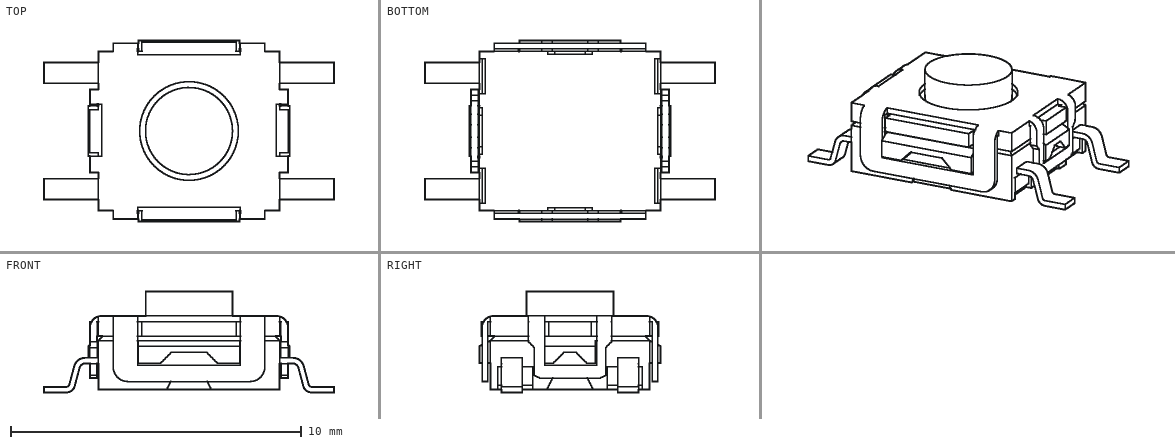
import cadquery as cq
import math

BODY_LENGTH = 6.24
BODY_WIDTH = 5.48
BODY_BOTTOM = 0.1
BODY_TOP = 1.94
BODY_CHAMFER = 0.15
COVER_TOP = 2.64
COVER_SHEET = 0.2
BEND_RADIUS = 0.4
COVER_UNDERSIDE = COVER_TOP - COVER_SHEET

BUTTON_DIAMETER = 3.0
BUTTON_TOP = 3.48
BUTTON_HOLE_DIAMETER = 3.4

CLIP_FACE_X = 3.41
CLIP_FACE_Y = 3.03
WINDOW_BOTTOM = 0.94

WIDE_CLIP_THICKNESS = 0.2
WIDE_CLIP_WIDTH = 5.22
WIDE_CLIP_BOTTOM = 0.38
WIDE_CLIP_RADIUS = 0.5
WIDE_WINDOW_WIDTH = 3.54

NARROW_CLIP_THICKNESS = 0.25
NARROW_CLIP_WIDTH = 2.86
NARROW_CLIP_FOOT_WIDTH = 2.46
NARROW_CLIP_BOTTOM = 0.5
NARROW_CLIP_TAPER_TOP = 1.75
NARROW_CLIP_CORNER_WIDTH = 0.19
NARROW_CLIP_CORNER_HEIGHT = 0.09
NARROW_WINDOW_WIDTH = 1.79
NARROW_WINDOW_OFFSET_Y = 0.03

WIDE_SPACER_WIDTH = 3.24
NARROW_SPACER_WIDTH = 1.48
SPACER_FACE_Y = 3.06
SPACER_FACE_X = CLIP_FACE_X
WIDE_LATCH_WIDTH = 3.48
NARROW_LATCH_WIDTH = 1.73
LATCH_FACE_Y = 3.12
LATCH_FACE_X = 3.47
LATCH_BOTTOM = 1.01
LATCH_SHOULDER = 1.6
LATCH_TOP = BODY_TOP - BODY_CHAMFER
LATCH_NOTCH_HEIGHT = 0.37
WIDE_NOTCH_TOP = 1.22
NARROW_NOTCH_TOP = 0.42

POCKET_TOP = 0.6
POCKET_DEPTH = 0.1
POCKET_FLARE = 0.25
WIDE_POCKET_TOP = 1.04
NARROW_POCKET_TOP = 1.1

LEAD_SPAN = 10.0
LEAD_WIDTH = 0.72
LEAD_PITCH = 4.0
LEAD_THICKNESS = 0.2
LEAD_TOP = 1.2
LEAD_SLOPE_ANGLE = 75.0
LEAD_UPPER_BEND_X = 3.57
LEAD_UPPER_RADIUS = 0.4
LEAD_LOWER_RADIUS = 0.3
LEAD_RECESS_WIDTH = 1.2
LEAD_RECESS_CENTER_Y = 1.89
LEAD_RECESS_TOP = 0.89
LEAD_RECESS_DEPTH = 0.1
LEAD_RECESS_STEP_TOP = 0.25
LEAD_RECESS_STEP_DEPTH = 0.2


def box(x_min, x_max, y_min, y_max, z_min, z_max):
    """Box between opposite corners."""
    size = (x_max - x_min, y_max - y_min, z_max - z_min)
    return cq.Workplane("XY").box(*size, centered=False).translate((x_min, y_min, z_min))


def centered_box(length, width, z_min, z_max):
    """Box centred on the Z axis."""
    return box(-length / 2, length / 2, -width / 2, width / 2, z_min, z_max)


def front_prism(outline, near, far):
    """Extrude an XZ outline between two distances in front of the centre."""
    return outline.extrude(far - near).translate((0, -near, 0))


def trapezoid(top_width, bottom_width, z_bottom, z_top):
    """Symmetric XZ trapezoid standing on z_bottom."""
    return cq.Workplane("XZ").polyline([
        (-bottom_width / 2, z_bottom),
        (bottom_width / 2, z_bottom),
        (top_width / 2, z_top),
        (-top_width / 2, z_top),
    ]).close()


def make_housing():
    lower = centered_box(BODY_LENGTH, BODY_WIDTH, BODY_BOTTOM, BODY_TOP)
    lower = lower.faces(">Z").edges().chamfer(BODY_CHAMFER)
    upper = centered_box(BODY_LENGTH, BODY_WIDTH, BODY_TOP, COVER_TOP)
    bent_sheet = centered_box(2 * CLIP_FACE_X, 2 * CLIP_FACE_Y, 0, COVER_TOP)
    bent_sheet = bent_sheet.faces(">Z").edges().fillet(BEND_RADIUS)
    return lower.union(upper.intersect(bent_sheet))


def add_button(part):
    well = cq.Workplane("XY", origin=(0, 0, COVER_UNDERSIDE)).circle(BUTTON_HOLE_DIAMETER / 2)
    button = cq.Workplane("XY", origin=(0, 0, COVER_UNDERSIDE)).circle(BUTTON_DIAMETER / 2)
    return part.cut(well.extrude(COVER_SHEET)).union(button.extrude(BUTTON_TOP - COVER_UNDERSIDE))


def wide_clip_outline():
    outline = centered_box(WIDE_CLIP_WIDTH, 2 * CLIP_FACE_Y, WIDE_CLIP_BOTTOM, COVER_TOP)
    return outline.edges("|Y and <Z").fillet(WIDE_CLIP_RADIUS)


def narrow_clip_outline():
    half_width = NARROW_CLIP_WIDTH / 2
    half_foot = NARROW_CLIP_FOOT_WIDTH / 2
    half_bottom = half_foot - NARROW_CLIP_CORNER_WIDTH
    taper_bottom = NARROW_CLIP_TAPER_TOP - (half_width - half_foot)
    right_side = [
        (half_bottom, NARROW_CLIP_BOTTOM),
        (half_foot, NARROW_CLIP_BOTTOM + NARROW_CLIP_CORNER_HEIGHT),
        (half_foot, taper_bottom),
        (half_width, NARROW_CLIP_TAPER_TOP),
        (half_width, COVER_TOP),
    ]
    left_side = [(-x, z) for x, z in reversed(right_side)]
    outline = cq.Workplane("XZ").polyline(right_side + left_side).close()
    return front_prism(outline, 0, CLIP_FACE_X)


def make_clip(outline, clip_face, thickness):
    """Sheet folded down over the wall, trimmed to the clip outline."""
    bend_start = clip_face - BEND_RADIUS
    profile = (
        cq.Workplane("YZ")
        .moveTo(-bend_start, COVER_TOP)
        .radiusArc((-clip_face, COVER_TOP - BEND_RADIUS), -BEND_RADIUS)
        .lineTo(-clip_face, 0)
        .lineTo(thickness - clip_face, 0)
        .lineTo(thickness - clip_face, COVER_UNDERSIDE)
        .lineTo(-bend_start, COVER_UNDERSIDE)
        .close()
    )
    return profile.extrude(BODY_LENGTH / 2, both=True).intersect(outline)


def make_latch(width, notch_top, wall, face):
    """Wedge that hooks into the clip window, with a notch in its lower edge."""
    wedge = cq.Workplane("YZ").polyline([
        (-wall, LATCH_BOTTOM),
        (-face, LATCH_BOTTOM),
        (-face, LATCH_SHOULDER),
        (-wall, LATCH_TOP),
    ]).close().extrude(width / 2, both=True)
    notch_bottom = notch_top + 2 * LATCH_NOTCH_HEIGHT
    notch = trapezoid(notch_top, notch_bottom, LATCH_BOTTOM, LATCH_BOTTOM + LATCH_NOTCH_HEIGHT)
    return wedge.cut(front_prism(notch, wall, face))


def add_side(part, turn, wall, clip_face, clip, window, spacer, latch, pocket_top):
    """Finish one wall; turn is the angle about Z from the -Y wall to that wall."""
    window_left, window_right = window
    spacer_width, spacer_face = spacer

    def place(shape):
        return shape.rotate((0, 0, 0), (0, 0, 1), turn)

    bend_start = clip_face - BEND_RADIUS
    opening = box(window_left, window_right, -clip_face, -wall, WINDOW_BOTTOM, COVER_TOP)
    rim_gap = box(window_left, window_right, -clip_face, -bend_start, COVER_UNDERSIDE, COVER_TOP)
    block = box(-spacer_width / 2, spacer_width / 2, -spacer_face, -wall, BODY_TOP, COVER_UNDERSIDE)
    pocket = trapezoid(pocket_top, pocket_top + 2 * POCKET_FLARE, BODY_BOTTOM, POCKET_TOP)

    part = part.cut(place(front_prism(pocket, wall - POCKET_DEPTH, wall)))
    part = part.union(place(clip.cut(opening))).cut(place(rim_gap))
    return part.union(place(block)).union(place(latch))


def add_wide_side(part, turn):
    wall = BODY_WIDTH / 2
    window = (-WIDE_WINDOW_WIDTH / 2, WIDE_WINDOW_WIDTH / 2)
    spacer = (WIDE_SPACER_WIDTH, SPACER_FACE_Y)
    latch = make_latch(WIDE_LATCH_WIDTH, WIDE_NOTCH_TOP, wall, LATCH_FACE_Y)
    clip = make_clip(wide_clip_outline(), CLIP_FACE_Y, WIDE_CLIP_THICKNESS)
    return add_side(part, turn, wall, CLIP_FACE_Y, clip, window, spacer, latch, WIDE_POCKET_TOP)


def add_narrow_side(part, turn):
    wall = BODY_LENGTH / 2
    offset = NARROW_WINDOW_OFFSET_Y * math.sin(math.radians(turn))
    window = (offset - NARROW_WINDOW_WIDTH / 2, offset + NARROW_WINDOW_WIDTH / 2)
    spacer = (NARROW_SPACER_WIDTH, SPACER_FACE_X)
    latch = make_latch(NARROW_LATCH_WIDTH, NARROW_NOTCH_TOP, wall, LATCH_FACE_X)
    clip = make_clip(narrow_clip_outline(), CLIP_FACE_X, NARROW_CLIP_THICKNESS)
    return add_side(part, turn, wall, CLIP_FACE_X, clip, window, spacer, latch, NARROW_POCKET_TOP)


def make_lead():
    """Gull-wing lead on the +X side, centred on Y = 0."""
    angle = math.radians(LEAD_SLOPE_ANGLE)
    reach, drop = math.sin(angle), 1 - math.cos(angle)
    upper_inner = LEAD_UPPER_RADIUS - LEAD_THICKNESS
    lower_inner = LEAD_LOWER_RADIUS - LEAD_THICKNESS
    lead_bottom = LEAD_TOP - LEAD_THICKNESS
    wall = BODY_LENGTH / 2
    tip = LEAD_SPAN / 2

    slope_top_x = LEAD_UPPER_BEND_X + LEAD_UPPER_RADIUS * reach
    slope_top_z = LEAD_TOP - LEAD_UPPER_RADIUS * drop
    slope_foot_z = LEAD_THICKNESS + lower_inner * drop
    slope_foot_x = slope_top_x + (slope_top_z - slope_foot_z) / math.tan(angle)
    foot_bend_x = slope_foot_x + lower_inner * reach

    profile = (
        cq.Workplane("XZ")
        .moveTo(wall, LEAD_TOP)
        .lineTo(LEAD_UPPER_BEND_X, LEAD_TOP)
        .radiusArc((slope_top_x, slope_top_z), LEAD_UPPER_RADIUS)
        .lineTo(slope_foot_x, slope_foot_z)
        .radiusArc((foot_bend_x, LEAD_THICKNESS), -lower_inner)
        .lineTo(tip, LEAD_THICKNESS)
        .lineTo(tip, 0)
        .lineTo(foot_bend_x, 0)
        .radiusArc((foot_bend_x - LEAD_LOWER_RADIUS * reach, LEAD_LOWER_RADIUS * drop), LEAD_LOWER_RADIUS)
        .lineTo(LEAD_UPPER_BEND_X + upper_inner * reach, lead_bottom - upper_inner * drop)
        .radiusArc((LEAD_UPPER_BEND_X, lead_bottom), -upper_inner)
        .lineTo(wall, lead_bottom)
        .close()
    )
    return profile.extrude(LEAD_WIDTH / 2, both=True)


def make_lead_recess():
    """Recess in the +X wall, deeper along the housing's bottom edge, centred on Y = 0."""
    half_width = LEAD_RECESS_WIDTH / 2
    wall = BODY_LENGTH / 2
    back = wall - LEAD_RECESS_DEPTH
    step_back = wall - LEAD_RECESS_STEP_DEPTH
    recess = box(back, wall, -half_width, half_width, BODY_BOTTOM, LEAD_RECESS_TOP)
    step = box(step_back, wall, -half_width, half_width, BODY_BOTTOM, LEAD_RECESS_STEP_TOP)
    return recess.union(step)


def add_leads(part):
    """Two leads and the recesses beneath them on each end of the housing."""
    recess = make_lead_recess()
    lead = make_lead()
    for turn in (0, 180):
        for side in (-1, 1):
            placed_recess = recess.translate((0, side * LEAD_RECESS_CENTER_Y, 0))
            placed_lead = lead.translate((0, side * LEAD_PITCH / 2, 0))
            part = part.cut(placed_recess.rotate((0, 0, 0), (0, 0, 1), turn))
            part = part.union(placed_lead.rotate((0, 0, 0), (0, 0, 1), turn))
    return part


result = add_button(make_housing())
for wide_turn in (0, 180):
    result = add_wide_side(result, wide_turn)
for narrow_turn in (90, -90):
    result = add_narrow_side(result, narrow_turn)
result = add_leads(result)